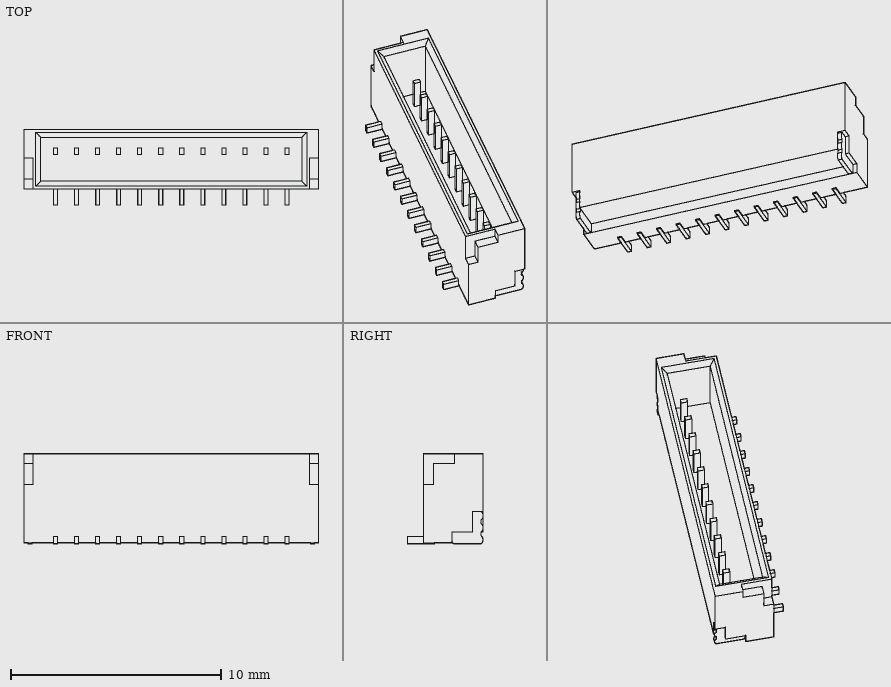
import cadquery as cq
import math


length = 14.0
width = 2.84
total_height = 4.3
standoff = 0.05
x_end = length / 2

cavity_side_wall = 0.8
cavity_long_wall = 0.38
lead_in = 0.24
cavity_floor = 1.0

key_depth = 0.43
key_arm = 1.48
key_width = 0.48

tab_leg = 1.48
tab_width = 0.5
tab_inset = 0.2
tab_thickness = 0.2
tab_toe_radius = 0.14
bump_radius = 0.25
bump_depth = 0.1
bump_count = 3

pin_count = 12
pin_row = 11.0
pin_pitch = pin_row / (pin_count - 1)
pin_thickness = 0.2
post_depth = 0.31
post_back = 1.95
post_top = 2.56
tail_reach = 0.75
tail_height = 0.36
tail_root = 0.53


def block(x_range, y_range, z_range):
    """Axis-aligned box between pairs of limits."""
    size = [limits[1] - limits[0] for limits in (x_range, y_range, z_range)]
    corner = (x_range[0], y_range[0], z_range[0])
    return cq.Workplane("XY").box(*size, centered=False).translate(corner)


def mirrored(shape):
    """The shape together with its copy at the opposite X end."""
    return shape.union(shape.mirror("YZ"))


def make_cavity():
    """Pocket with a 45-degree lead-in around its mouth."""
    half_span = x_end - cavity_side_wall
    pocket = block(
        (-half_span, half_span),
        (cavity_long_wall, width - cavity_long_wall),
        (cavity_floor, total_height),
    )
    mouth = (
        cq.Workplane("XY", origin=(0, width / 2, total_height))
        .rect(2 * (half_span + lead_in), width - 2 * (cavity_long_wall - lead_in))
        .extrude(-lead_in, taper=45)
    )
    return pocket.union(mouth)


def make_keys():
    """L-shaped corner reliefs at both ends."""
    x_range = (-x_end, -x_end + key_depth)
    top_arm = block(x_range, (0, key_arm), (total_height - key_width, total_height))
    front_arm = block(x_range, (0, key_width), (total_height - key_arm, total_height))
    return mirrored(top_arm.union(front_arm))


def make_tab_slots():
    """Upright slots above the back step that hold the tabs' vertical legs."""
    x_range = (-x_end, -x_end + tab_inset + tab_thickness)
    return mirrored(block(x_range, (width - tab_width, width), (standoff, standoff + tab_leg)))


def make_back_step():
    """Step running the full length of the lower back edge."""
    return block((-x_end, x_end), (width - tab_leg, width), (standoff, standoff + tab_width))


def make_tabs():
    """L-shaped solder tabs with a row of rounded bumps along the back edge."""
    bump_half = math.sqrt(bump_radius**2 - (bump_radius - bump_depth) ** 2)
    y_root = width - bump_depth
    y_toe = width - tab_leg
    y_leg = width - tab_width
    z_leg = standoff + tab_width
    z_top = standoff + tab_leg
    outline = (
        cq.Workplane("YZ", origin=(-x_end + tab_inset, 0, 0))
        .moveTo(y_leg, z_top)
        .lineTo(y_leg, z_leg)
        .lineTo(y_toe, z_leg)
        .lineTo(y_toe, tab_toe_radius)
        .radiusArc((y_toe + tab_toe_radius, 0), -tab_toe_radius)
        .lineTo(y_root, 0)
    )
    bump_pitch = (z_top - 2 * bump_half) / (bump_count - 1)
    for index in range(bump_count):
        z_middle = bump_half + index * bump_pitch
        if index > 0:
            outline = outline.lineTo(y_root, z_middle - bump_half)
        outline = outline.threePointArc((width, z_middle), (y_root, z_middle + bump_half))
    return mirrored(outline.close().extrude(tab_thickness))


def make_contact(x_middle):
    """Upright post in the cavity and the solder tail below the front wall."""
    x_range = (x_middle - pin_thickness / 2, x_middle + pin_thickness / 2)
    post = block(x_range, (post_back - post_depth, post_back), (cavity_floor, post_top))
    tail = block(x_range, (-tail_reach, tail_root), (0, tail_height))
    return post.union(tail)


result = block((-x_end, x_end), (0, width), (standoff, total_height))
for cutter in (make_cavity(), make_keys(), make_tab_slots(), make_back_step()):
    result = result.cut(cutter)
result = result.union(make_tabs())
for index in range(pin_count):
    result = result.union(make_contact(index * pin_pitch - pin_row / 2))